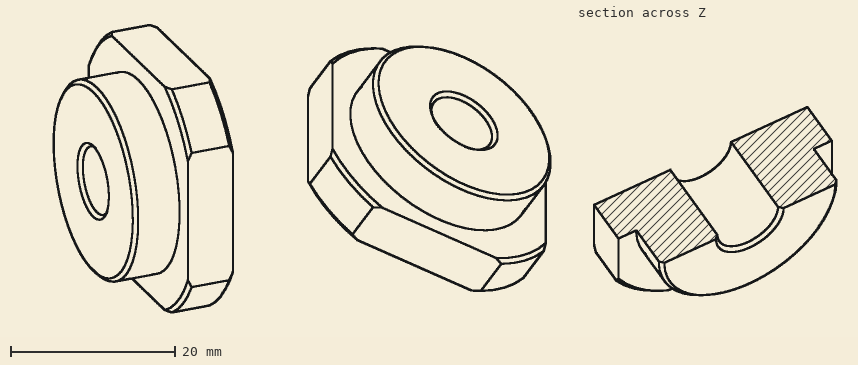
import cadquery as cq

flange_width = 30.0
flange_diameter = 35.0
flange_thickness = 6.0
boss_diameter = 25.0
boss_length = 6.0
edge_chamfer = 0.5
hole_diameter = 8.5

total_length = flange_thickness + boss_length
hole_mouth_diameter = hole_diameter + 2 * edge_chamfer


def cylinder_along_y(diameter, start_y, length):
    """Cylinder on the Y axis, running toward +Y from start_y."""
    start = cq.Vector(0, start_y, 0)
    return cq.Workplane(cq.Solid.makeCylinder(diameter / 2, length, start, cq.Vector(0, 1, 0)))


def make_flange():
    """Disc chamfered on both rims, then cut square by four flats."""
    disc = cylinder_along_y(flange_diameter, 0, flange_thickness)
    disc = disc.faces("<Y or >Y").chamfer(edge_chamfer)
    square = cq.Workplane().box(flange_width, 2 * flange_thickness, flange_width)
    return disc.intersect(square)


def make_boss():
    """Round boss on the -Y side of the flange with a chamfered front rim."""
    boss = cylinder_along_y(boss_diameter, -boss_length, boss_length)
    return boss.faces("<Y").chamfer(edge_chamfer)


def make_bore():
    """Through bore with a 45 degree chamfer at the boss end."""
    bore = cylinder_along_y(hole_diameter, -boss_length, total_length)
    mouth = cq.Solid.makeCone(
        hole_mouth_diameter / 2,
        hole_diameter / 2,
        edge_chamfer,
        cq.Vector(0, -boss_length, 0),
        cq.Vector(0, 1, 0),
    )
    return bore.union(cq.Workplane(mouth))


result = make_flange().union(make_boss()).cut(make_bore())